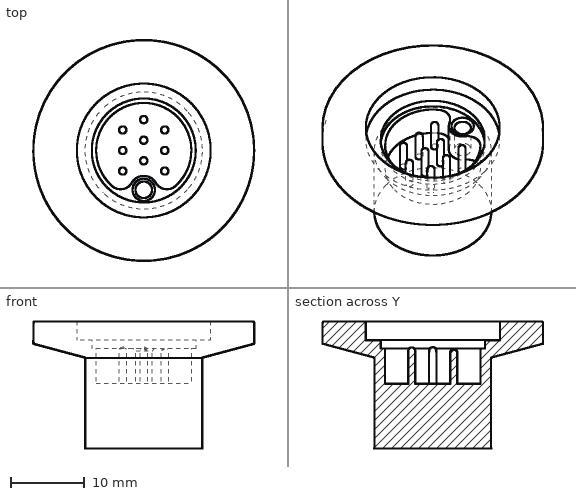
import cadquery as cq
import math

flange_diameter = 29.97
stem_diameter = 15.9
total_height = 17.25
rim_height = 3.05
cone_angle = 15.0
face_edge_round = 0.25
cone_edge_round = 0.18

recess_diameter = 18.15
recess_depth = 2.55
bore_diameter = 14.12
ledge_depth = 3.65
cavity_diameter = 12.92
cavity_depth = 8.45

key_center_y = -5.33
key_radius = 1.9
lobe_radius = 1.75
key_hole_diameter = 2.25
key_hole_chamfer = 0.4

pin_diameter = 1.0
pin_tip_round = 0.45
pin_column_spacing = 2.85
pin_pitch = 2.8
long_pin_depth = 3.5
medium_pin_depth = 3.65
short_pin_depth = 3.8


def make_body():
    flange_radius = flange_diameter / 2
    stem_radius = stem_diameter / 2
    cone_height = (flange_radius - stem_radius) * math.tan(math.radians(cone_angle))
    half_section = (
        cq.Workplane("XZ")
        .moveTo(0, 0)
        .lineTo(flange_radius, 0)
        .lineTo(flange_radius, -rim_height)
        .lineTo(stem_radius, -rim_height - cone_height)
        .lineTo(stem_radius, -total_height)
        .lineTo(0, -total_height)
        .close()
    )
    body = half_section.revolve(360, (0, 0, 0), (0, 1, 0))
    cone_edge = cq.selectors.NearestToPointSelector((0, 0, -rim_height))
    body = body.faces(">Z").edges().fillet(face_edge_round)
    return body.edges(cone_edge).fillet(cone_edge_round)


def blind_round(diameter, depth):
    return cq.Workplane("XY").circle(diameter / 2).extrude(-depth)


def make_cavity():
    """Round pocket whose -Y side curves inward around the key."""
    cavity_radius = cavity_diameter / 2

    lobe_distance = cavity_radius - lobe_radius
    lobe_to_key = key_radius + lobe_radius
    lobe_y = (lobe_distance**2 + key_center_y**2 - lobe_to_key**2) / (2 * key_center_y)
    lobe_x = math.sqrt(lobe_distance**2 - lobe_y**2)

    wall_scale = cavity_radius / lobe_distance
    wall_x = lobe_x * wall_scale
    wall_y = lobe_y * wall_scale

    key_share = key_radius / lobe_to_key
    key_x = lobe_x * key_share
    key_y = key_center_y + (lobe_y - key_center_y) * key_share

    lobe_bottom_y = lobe_y - lobe_radius
    key_top_y = key_center_y + key_radius

    return (
        cq.Workplane("XY")
        .moveTo(wall_x, wall_y)
        .threePointArc((0, cavity_radius), (-wall_x, wall_y))
        .threePointArc((-lobe_x, lobe_bottom_y), (-key_x, key_y))
        .threePointArc((0, key_top_y), (key_x, key_y))
        .threePointArc((lobe_x, lobe_bottom_y), (wall_x, wall_y))
        .close()
        .extrude(-cavity_depth)
    )


def make_key_hole():
    hole_radius = key_hole_diameter / 2
    half_section = (
        cq.Workplane("XZ", origin=(0, key_center_y, 0))
        .moveTo(0, -ledge_depth)
        .lineTo(hole_radius + key_hole_chamfer, -ledge_depth)
        .lineTo(hole_radius, -ledge_depth - key_hole_chamfer)
        .lineTo(hole_radius, -cavity_depth)
        .lineTo(0, -cavity_depth)
        .close()
    )
    return half_section.revolve(360, (0, 0, 0), (0, 1, 0))


def make_pin(x, y, tip_depth):
    """Pin with a domed tip that keeps a tiny flat at its centre."""
    return (
        cq.Workplane("XY", origin=(x, y, -cavity_depth))
        .circle(pin_diameter / 2)
        .extrude(cavity_depth - tip_depth)
        .faces(">Z")
        .edges()
        .fillet(pin_tip_round)
    )


pin_columns = [
    (-pin_column_spacing, 0, (long_pin_depth, long_pin_depth, medium_pin_depth)),
    (0, pin_pitch / 2, (medium_pin_depth, long_pin_depth, short_pin_depth)),
    (pin_column_spacing, 0, (medium_pin_depth, short_pin_depth, short_pin_depth)),
]

result = make_body()
result = result.cut(blind_round(recess_diameter, recess_depth))
result = result.cut(blind_round(bore_diameter, ledge_depth))
result = result.cut(make_cavity())
result = result.cut(make_key_hole())

for column_x, column_shift, tip_depths in pin_columns:
    for row, tip_depth in zip((-1, 0, 1), tip_depths):
        result = result.union(make_pin(column_x, column_shift + row * pin_pitch, tip_depth))